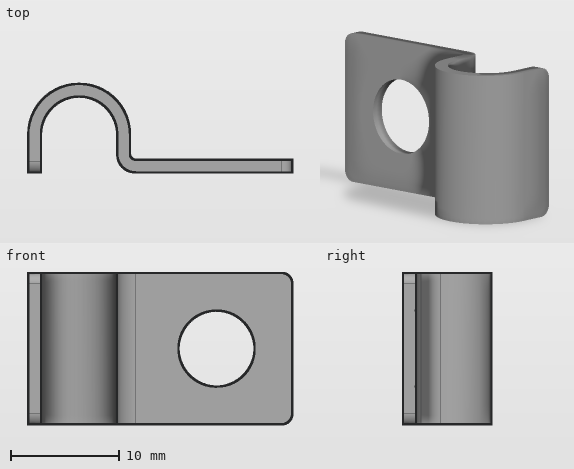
import cadquery as cq

length = 24.4
depth = 8.2
width = 14.0
thickness = 1.2
loop_radius = 4.7
bend_radius = 0.5
corner_radius = 1.0
hole_diameter = 7.0
hole_to_tab_end = 7.0

loop_inner_radius = loop_radius - thickness
mount_y = loop_radius - depth
tab_back_y = mount_y + thickness
tab_end_x = length - loop_radius
bend_outer_radius = bend_radius + thickness
bend_x = loop_radius + bend_radius
bend_y = tab_back_y + bend_radius
hole_x = tab_end_x - hole_to_tab_end


def bent_strip():
    """Sheet profile: free leg, half loop, short leg, bend and flat tab."""
    profile = (
        cq.Workplane("XY")
        .moveTo(-loop_radius, mount_y)
        .lineTo(-loop_radius, 0)
        .threePointArc((0, loop_radius), (loop_radius, 0))
        .lineTo(loop_radius, bend_y)
        .radiusArc((bend_x, tab_back_y), -bend_radius)
        .lineTo(tab_end_x, tab_back_y)
        .lineTo(tab_end_x, mount_y)
        .lineTo(bend_x, mount_y)
        .radiusArc((loop_inner_radius, bend_y), bend_outer_radius)
        .lineTo(loop_inner_radius, 0)
        .threePointArc((0, loop_inner_radius), (-loop_inner_radius, 0))
        .lineTo(-loop_inner_radius, mount_y)
        .close()
    )
    return profile.extrude(width / 2, both=True)


def round_end_corners(strip):
    """Round the two corners of the tab end and of the free leg end."""
    strip = strip.faces(">X").edges("|Y").fillet(corner_radius)
    leg_corners = cq.selectors.BoxSelector(
        (-loop_radius - thickness, mount_y - thickness, -width),
        (-loop_inner_radius + thickness, mount_y + thickness, width),
    )
    return strip.faces("<Y").edges("|X").edges(leg_corners).fillet(corner_radius)


def screw_hole():
    """Cylinder that passes through the tab at mid width."""
    return (
        cq.Workplane("XZ", origin=(hole_x, tab_back_y, 0))
        .circle(hole_diameter / 2)
        .extrude(thickness)
    )


result = round_end_corners(bent_strip()).cut(screw_hole())